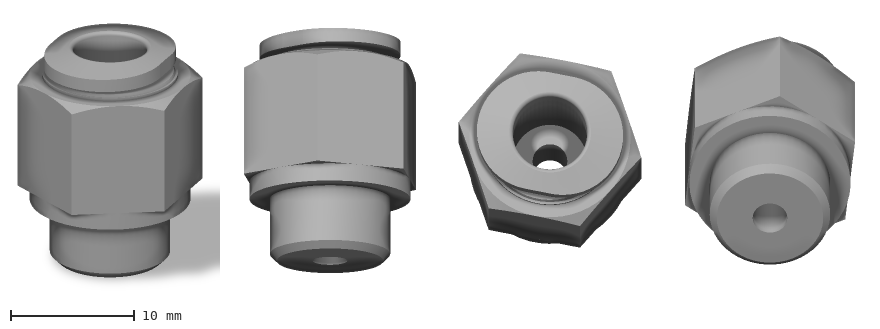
import cadquery as cq
import math

hex_across_flats = 13.0
hex_across_corners = hex_across_flats / math.cos(math.radians(30))
hex_bottom = 6.55
hex_top = 15.93
hex_chamfer_angle = 30

thread_diameter = 9.73
thread_chamfer = 0.57
flange_bottom = 5.12

collar_diameter = 11.0
collar_step_top = 16.2
collar_lip_diameter = 10.6
collar_lip_top_diameter = 10.35
collar_top = 16.41

neck_diameter = 7.4
neck_fillet = 0.35
cap_bottom = 16.9
cap_width = 9.79
cap_length = 11.85
cap_top = 18.4
cap_cone_angle = 10
mouth_diameter = 6.62

tube_diameter = 6.0
tube_seat = hex_bottom
through_diameter = 2.8


def cylinder(diameter, bottom, top):
    return cq.Workplane("XY").workplane(offset=bottom).circle(diameter / 2).extrude(top - bottom)


def cone_limit(radius_at_top, bottom, top, angle, outer_radius):
    """Solid of revolution whose top slopes down outside radius_at_top."""
    drop = (outer_radius - radius_at_top) * math.tan(math.radians(angle))
    profile = [(0, bottom), (outer_radius, bottom), (outer_radius, top - drop), (radius_at_top, top), (0, top)]
    return cq.Workplane("XZ").polyline(profile).close().revolve(360, (0, 0), (0, 1))


def make_hexagon():
    blank = (
        cq.Workplane("XY")
        .workplane(offset=hex_bottom)
        .transformed(rotate=(0, 0, 90))
        .polygon(6, hex_across_corners)
        .extrude(hex_top - hex_bottom)
    )
    limit = cone_limit(hex_across_flats / 2, hex_bottom, hex_top, hex_chamfer_angle, hex_across_corners)
    return blank.intersect(limit)


def make_lower_end():
    thread = cylinder(thread_diameter, 0, flange_bottom).faces("<Z").chamfer(thread_chamfer)
    return thread.union(cylinder(hex_across_flats, flange_bottom, hex_bottom))


def make_collar():
    step = cylinder(collar_diameter, hex_top, collar_step_top)
    lip = (
        cq.Workplane("XY")
        .workplane(offset=collar_step_top)
        .circle(collar_lip_diameter / 2)
        .workplane(offset=collar_top - collar_step_top)
        .circle(collar_lip_top_diameter / 2)
        .loft()
    )
    return step.union(lip)


def make_button():
    neck_radius = neck_diameter / 2
    fillet_sag = neck_fillet * (1 - math.sqrt(0.5))
    neck = (
        cq.Workplane("XZ")
        .moveTo(0, collar_top)
        .lineTo(neck_radius, collar_top)
        .lineTo(neck_radius, cap_bottom - neck_fillet)
        .threePointArc(
            (neck_radius + fillet_sag, cap_bottom - fillet_sag),
            (neck_radius + neck_fillet, cap_bottom),
        )
        .lineTo(0, cap_bottom)
        .close()
        .revolve(360, (0, 0), (0, 1))
    )
    cap = (
        cq.Workplane("XY")
        .workplane(offset=cap_bottom)
        .slot2D(cap_length, cap_width, 90)
        .extrude(cap_top - cap_bottom)
    )
    limit = cone_limit(mouth_diameter / 2, cap_bottom, cap_top, cap_cone_angle, cap_length)
    return neck.union(cap.intersect(limit))


def make_bore():
    through_hole = cylinder(through_diameter, 0, tube_seat)
    tube_socket = cylinder(tube_diameter, tube_seat, cap_top)
    mouth_radius = mouth_diameter / 2
    tube_radius = tube_diameter / 2
    lead_in = mouth_radius - tube_radius
    sag = lead_in * (1 - math.sqrt(0.5))
    mouth = (
        cq.Workplane("XZ")
        .moveTo(0, cap_top)
        .lineTo(mouth_radius, cap_top)
        .threePointArc((tube_radius + sag, cap_top - sag), (tube_radius, cap_top - lead_in))
        .lineTo(0, cap_top - lead_in)
        .close()
        .revolve(360, (0, 0), (0, 1))
    )
    return through_hole.union(tube_socket).union(mouth)


body = make_hexagon().union(make_lower_end()).union(make_collar()).union(make_button())
result = body.cut(make_bore())